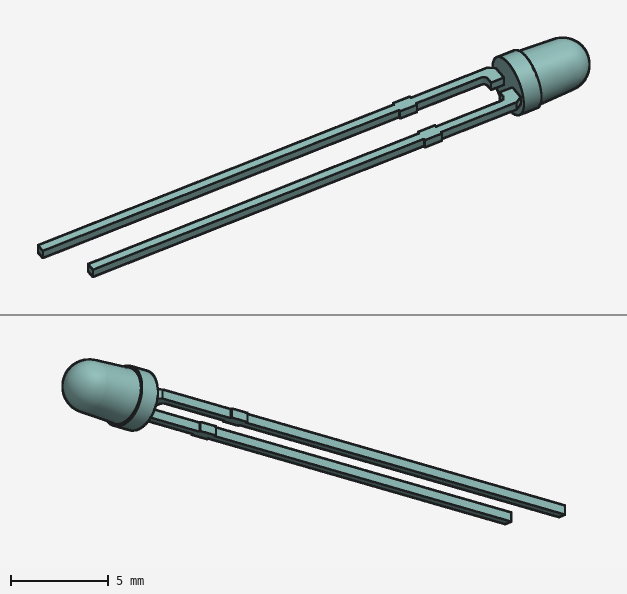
import cadquery as cq
import math

total_length = 31.6

flange_diameter = 3.2
flange_height = 1.05
lens_base_diameter = 2.97
dome_diameter = 2.78
dome_radius = dome_diameter / 2
lens_height = 4.6
dome_start = lens_height - dome_radius

lead_spacing = 2.53
lead_size = 0.5
long_lead_length = total_length - lens_height
lead_length_difference = 1.5
short_lead_length = long_lead_length - lead_length_difference

elbow_gap = 0.85
elbow_height = 0.75
elbow_chamfer_width = 0.237
elbow_chamfer_height = 0.38
elbow_inner_radius = 0.237

stop_width = 0.73
stop_length = 1.0
stop_distance = 4.87


def make_lens():
    """Flange, tapered wall and hemispherical dome as one revolved profile."""
    dome_mid = dome_radius * math.cos(math.radians(45))
    profile = (
        cq.Workplane("XY")
        .lineTo(flange_diameter / 2, 0)
        .lineTo(flange_diameter / 2, flange_height)
        .lineTo(lens_base_diameter / 2, flange_height)
        .lineTo(dome_radius, dome_start)
        .threePointArc((dome_mid, dome_start + dome_mid), (0, lens_height))
        .close()
    )
    return profile.revolve(360, (0, 0), (0, 1))


def make_lead(length):
    """Lead on the +X side, running from the lens base toward -Y."""
    center = lead_spacing / 2
    outer = center + lead_size / 2
    inner = center - lead_size / 2
    outline = (
        cq.Workplane("XY")
        .moveTo(elbow_gap / 2, 0)
        .lineTo(outer - elbow_chamfer_width, 0)
        .lineTo(outer, -elbow_chamfer_height)
        .lineTo(outer, -length)
        .lineTo(inner, -length)
        .lineTo(inner, -elbow_height - elbow_inner_radius)
        .radiusArc((inner - elbow_inner_radius, -elbow_height), -elbow_inner_radius)
        .lineTo(elbow_gap / 2, -elbow_height)
        .close()
    )
    lead = outline.extrude(lead_size / 2, both=True)
    stop = (
        cq.Workplane("XY")
        .box(stop_width, stop_length, lead_size)
        .translate((center, -stop_distance - stop_length / 2, 0))
    )
    return lead.union(stop)


short_lead = make_lead(short_lead_length)
long_lead = make_lead(long_lead_length).mirror("YZ")
result = make_lens().union(short_lead).union(long_lead)